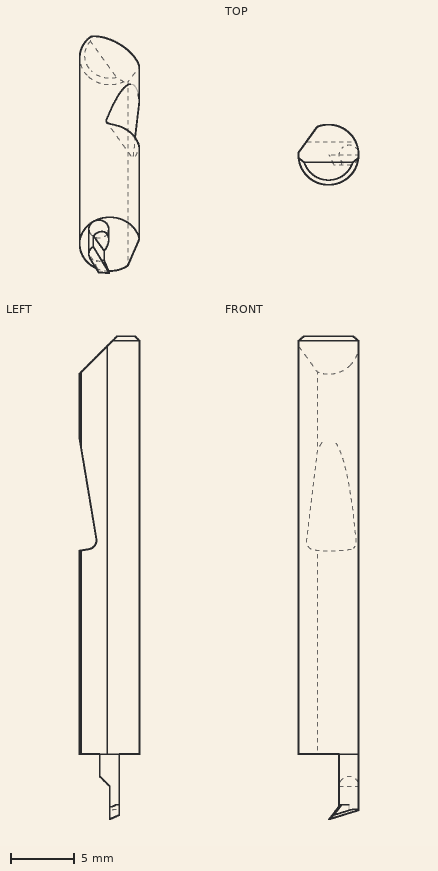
import cadquery as cq
import math

total_length = 38.1
shank_radius = 2.38
shank_bottom = 5.15
end_chamfer = 0.4

slant_start_y = -0.6

flat_distance = 2.02
flat_angle = 144.0

notch_top = 30.1
notch_bottom = 21.2
notch_tilt = math.radians(9.5)
notch_fillet = 0.7

neck_radius = 0.78
neck_x = shank_radius - neck_radius
half_start = 2.63

head_top = 1.15
nose_x = 0.05
flank_top_x = 0.9
edge_angle = math.radians(17.2)
bottom_relief = 0.23
flank_relief = 0.1


def prism_along_x(points):
    """Extrude a Y-Z outline across the whole shank."""
    return cq.Workplane("YZ").polyline(points).close().extrude(shank_radius, both=True)


def make_shank():
    length = total_length - shank_bottom
    shank = cq.Workplane("XY").workplane(offset=shank_bottom).circle(shank_radius).extrude(length)
    return shank.faces(">Z").chamfer(end_chamfer)


def make_slant():
    """45 degree wedge removed from the top end."""
    run = 2 * shank_radius
    return prism_along_x([
        (slant_start_y, total_length),
        (slant_start_y + run, total_length),
        (slant_start_y + run, total_length - run),
    ])


def make_flat():
    """Block whose inner face is the lengthwise flat."""
    block = cq.Workplane("XY").box(
        shank_radius, 2 * shank_radius, total_length, centered=(False, True, False)
    )
    return block.translate((flat_distance, 0, 0)).rotate((0, 0, 0), (0, 0, 1), flat_angle)


def make_notch():
    """Tilted floor and a wall square to it, with a rounded inner corner."""
    opening = notch_top - notch_bottom
    floor_length = opening * math.cos(notch_tilt)
    corner_y = shank_radius - floor_length * math.sin(notch_tilt)
    corner_z = notch_top - floor_length * math.cos(notch_tilt)
    notch = prism_along_x([
        (shank_radius, notch_top),
        (corner_y, corner_z),
        (shank_radius, notch_bottom),
    ])
    return notch.edges("|X").edges("<Y").fillet(notch_fillet)


def make_neck():
    """Full pin ending in a 45 degree run-out to its -Y half, with a sloped end."""
    pin = cq.Workplane("XY").center(neck_x, 0).circle(neck_radius).extrude(shank_bottom)
    half_relief = prism_along_x([
        (0, 0),
        (0, half_start),
        (shank_radius, half_start + shank_radius),
        (shank_radius, 0),
    ])
    end_relief = loft_to_tangent(end_outline(0), end_outline(bottom_relief))
    return pin.cut(half_relief).cut(end_relief)


def loft_to_tangent(middle_outline, tangent_outline):
    """Ruled solid from the XZ plane to the plane touching the pin on -Y."""
    return (
        cq.Workplane("XZ")
        .polyline(middle_outline).close()
        .workplane(offset=neck_radius)
        .polyline(tangent_outline).close()
        .loft(ruled=True)
    )


def edge_height(x, bottom_rise):
    """Height of the sloped bottom edge at a given X."""
    return bottom_rise + math.tan(edge_angle) * (x - nose_x)


def end_outline(bottom_rise):
    """X-Z region below the bottom edge, wider than the pin on both sides."""
    far_x = 2 * shank_radius
    return [
        (nose_x, -shank_radius),
        (nose_x, edge_height(nose_x, bottom_rise)),
        (far_x, edge_height(far_x, bottom_rise)),
        (far_x, -shank_radius),
    ]


def head_outline(bottom_rise, flank_shift):
    """X-Z outline of the head with its bottom raised and its flank moved in."""
    flank_run = (flank_top_x - nose_x) / head_top
    edge_slope = math.tan(edge_angle)
    tip_z = (bottom_rise + edge_slope * flank_shift) / (1 - edge_slope * flank_run)
    return [
        (nose_x + flank_shift + flank_run * tip_z, tip_z),
        (flank_top_x + flank_shift, head_top),
        (neck_x, head_top),
        (neck_x, edge_height(neck_x, bottom_rise)),
    ]


def make_head():
    """Hooked nose running from the pin axis toward -X."""
    return loft_to_tangent(head_outline(0, 0), head_outline(bottom_relief, flank_relief))


shank = make_shank().cut(make_slant()).cut(make_flat()).cut(make_notch())
result = shank.union(make_neck()).union(make_head())